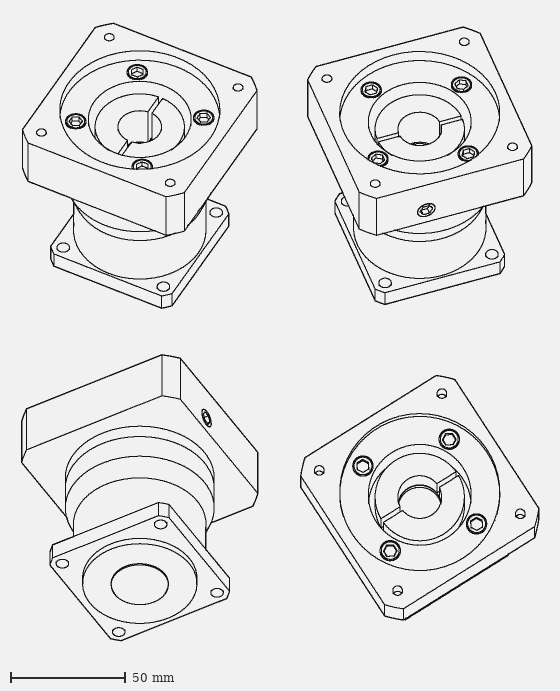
import cadquery as cq
import math

total_height = 90.0
tip_height = 0.7
boss_top = 4.0
flange_top = 12.0
neck_top = 37.0
cone_top = 46.7
joint_z = 58.7
block_bottom = 65.0

tip_diameter = 25.0
boss_diameter = 50.0
flange_side = 60.0
flange_corner_diameter = 80.3
flange_hole_diameter = 5.5
flange_hole_circle = 70.0
neck_diameter = 58.0
drum_diameter = 65.2

hub_diameter = 39.1
hub_top_depth = 11.0
hub_top = total_height - hub_top_depth
bore_diameter = 19.1
bore_below_joint = 5.4
bore_bottom = joint_z - bore_below_joint
relief_diameter = 25.0
relief_depth = 0.9
slot_width = 2.0

block_side = 80.0
block_corner_diameter = 105.1
recess_diameter = 70.0
recess_depth = 6.1
recess_floor = total_height - recess_depth
hub_clearance_diameter = 45.0
motor_hole_diameter = 4.2
motor_hole_circle = 90.0
motor_hole_depth = 12.0
drill_point_angle = 118.0

hex_across_flats = 5.0
hex_depth = 2.7
screw_head_diameter = 8.9
screw_rim_chamfer = 0.5
screw_circle = 56.0
screw_start_angle = 30.0
screw_count = 4
plug_diameter = 8.2
plug_rim_chamfer = 0.1
plug_y = 11.0
plug_z = 73.0


def cylinder(diameter, z_from, z_to):
    """Upright cylinder on the Z axis between two heights."""
    return cq.Workplane("XY").workplane(offset=z_from).circle(diameter / 2).extrude(z_to - z_from)


def rounded_square(side, corner_diameter, z_from, z_to):
    """Square plate whose corners are turned off to a circle about the Z axis."""
    square = cq.Workplane("XY").workplane(offset=z_from).rect(side, side).extrude(z_to - z_from)
    return square.intersect(cylinder(corner_diameter, z_from, z_to))


def corner_points(hole_circle):
    """The four places on a hole circle that lie on the diagonals."""
    offset = hole_circle / 2 * math.cos(math.radians(45))
    return [(sx * offset, sy * offset) for sx in (-1, 1) for sy in (-1, 1)]


def socket_head_cut(diameter, rim_chamfer):
    """Hex socket and bevelled rim of a flush head whose face is at the origin, facing +Z."""
    hex_corner_diameter = hex_across_flats / math.cos(math.radians(30))
    socket = cq.Workplane("XY").polygon(6, hex_corner_diameter).extrude(-hex_depth)
    radius = diameter / 2
    rim = (
        cq.Workplane("XZ")
        .polyline([(radius - rim_chamfer, 0), (radius, 0), (radius, -rim_chamfer)])
        .close()
        .revolve(360, (0, 0, 0), (0, 1, 0))
    )
    return socket.union(rim)


def make_gearbox():
    """Turned barrel with a square flange, centring boss and clamping hub."""
    profile = [
        (0, flange_top),
        (neck_diameter / 2, flange_top),
        (neck_diameter / 2, neck_top),
        (drum_diameter / 2, cone_top),
        (drum_diameter / 2, joint_z),
        (0, joint_z),
    ]
    barrel = cq.Workplane("XZ").polyline(profile).close().revolve(360, (0, 0, 0), (0, 1, 0))
    flange = rounded_square(flange_side, flange_corner_diameter, boss_top, flange_top)
    flange = flange.cut(
        cq.Workplane("XY")
        .workplane(offset=boss_top)
        .pushPoints(corner_points(flange_hole_circle))
        .circle(flange_hole_diameter / 2)
        .extrude(flange_top - boss_top)
    )
    boss = cylinder(boss_diameter, tip_height, boss_top)
    tip = cylinder(tip_diameter, 0, tip_height)
    return barrel.union(flange).union(boss).union(tip).union(make_hub()).cut(make_bore())


def make_hub():
    """Clamping hub, split by a slot down to the joint plane."""
    slot = (
        cq.Workplane("XY")
        .workplane(offset=joint_z)
        .rect(slot_width, hub_diameter)
        .extrude(hub_top - joint_z)
    )
    return cylinder(hub_diameter, joint_z, hub_top).cut(slot)


def make_bore():
    """Blind shaft bore with a wider relief groove just below the slot."""
    relief = cylinder(relief_diameter, joint_z - relief_depth, joint_z)
    return cylinder(bore_diameter, bore_bottom, hub_top).union(relief)


def make_motor_holes():
    """Blind holes with a drill point, one in each corner of the adapter."""
    radius = motor_hole_diameter / 2
    point_depth = radius / math.tan(math.radians(drill_point_angle / 2))
    profile = [
        (0, 0),
        (radius, 0),
        (radius, -motor_hole_depth),
        (0, -motor_hole_depth - point_depth),
    ]
    hole = cq.Workplane("XZ").polyline(profile).close().revolve(360, (0, 0, 0), (0, 1, 0))
    holes = cq.Workplane("XY")
    for x, y in corner_points(motor_hole_circle):
        holes = holes.add(hole.translate((x, y, total_height)))
    return holes.combine()


def make_screw_cuts():
    """Sockets and rims of the four screws on the recess floor."""
    head = socket_head_cut(screw_head_diameter, screw_rim_chamfer)
    head = head.translate((screw_circle / 2, 0, recess_floor))
    cuts = cq.Workplane("XY")
    for i in range(screw_count):
        cuts = cuts.add(head.rotate((0, 0, 0), (0, 0, 1), screw_start_angle + i * 360 / screw_count))
    return cuts.combine()


def make_plug_cut():
    """Socket and rim of the plug on the -X side."""
    plug = socket_head_cut(plug_diameter, plug_rim_chamfer)
    plug = plug.rotate((0, 0, 0), (0, 0, 1), 90).rotate((0, 0, 0), (0, 1, 0), -90)
    return plug.translate((-block_side / 2, plug_y, plug_z))


def make_adapter():
    """Square motor adapter around the hub, with a round collar under it."""
    block = rounded_square(block_side, block_corner_diameter, block_bottom, total_height)
    adapter = block.union(cylinder(drum_diameter, joint_z, block_bottom))
    adapter = adapter.cut(cylinder(recess_diameter, recess_floor, total_height))
    adapter = adapter.cut(cylinder(hub_clearance_diameter, joint_z, recess_floor))
    return adapter.cut(make_motor_holes()).cut(make_screw_cuts()).cut(make_plug_cut())


gearbox = make_gearbox()
adapter = make_adapter()

result = cq.Compound.makeCompound([gearbox.val(), adapter.val()])